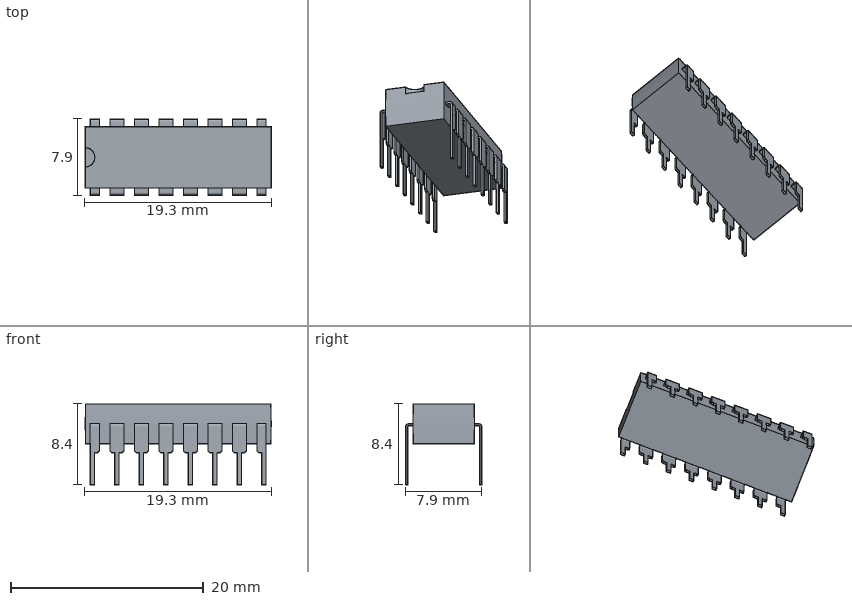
import cadquery as cq
import math

body_length = 19.3
body_width = 6.4
upper_height = 2.07
lower_height = 2.08
draft_inset = 0.04

notch_radius = 1.0
notch_depth = 0.75

leads_per_side = 8
lead_pitch = 2.54
lead_span = 7.9
overall_height = 8.4
lead_thickness = 0.23
bend_radius = 0.29
blade_width = 1.47
leg_width = 0.46
leg_length = 3.32
shoulder_chamfer = 0.2

tip_z = upper_height - overall_height
shoulder_z = tip_z + leg_length
lead_root_y = body_width / 2 - 2 * lead_thickness
lead_outer_y = lead_span / 2


def body_half(height):
    """Tapered half of the body, rising from the parting plane."""
    draft_angle = math.degrees(math.atan(draft_inset / height))
    return cq.Workplane("XY").rect(body_length, body_width).extrude(height, taper=draft_angle)


def notched_body():
    lower = body_half(lower_height).mirror("XY")
    notch = (
        cq.Workplane("XY", origin=(-body_length / 2, 0, upper_height - notch_depth))
        .circle(notch_radius)
        .extrude(notch_depth)
    )
    return body_half(upper_height).union(lower).cut(notch)


def bent_strip():
    """Bent strip at the -Y side, as wide as the blade and centred on X = 0."""
    inner_radius = bend_radius - lead_thickness
    bend_y = -lead_outer_y + bend_radius
    inner_y = -lead_outer_y + lead_thickness
    return (
        cq.Workplane("YZ", origin=(-blade_width / 2, 0, 0))
        .moveTo(-lead_root_y, 0)
        .lineTo(bend_y, 0)
        .radiusArc((-lead_outer_y, -bend_radius), -bend_radius)
        .lineTo(-lead_outer_y, tip_z)
        .lineTo(inner_y, tip_z)
        .lineTo(inner_y, -bend_radius)
        .radiusArc((bend_y, -lead_thickness), inner_radius)
        .lineTo(-lead_root_y, -lead_thickness)
        .close()
        .extrude(blade_width)
    )


def shoulder_cutter():
    """Material beside the leg on its +X side, below the chamfered shoulder."""
    half_blade = blade_width / 2
    return (
        cq.Workplane("XZ")
        .moveTo(leg_width / 2, tip_z)
        .lineTo(leg_width / 2, shoulder_z)
        .lineTo(half_blade - shoulder_chamfer, shoulder_z)
        .lineTo(half_blade, shoulder_z + shoulder_chamfer)
        .lineTo(half_blade, tip_z)
        .close()
        .extrude(lead_span)
    )


def full_lead():
    cutter = shoulder_cutter()
    return bent_strip().cut(cutter).cut(cutter.mirror("YZ"))


def left_end_lead():
    """Lead whose blade is trimmed flush with the leg on its -X side."""
    trim_width = (blade_width - leg_width) / 2
    trim = (
        cq.Workplane("XY")
        .box(trim_width, lead_span, overall_height, centered=(False, True, False))
        .translate((-blade_width / 2, 0, tip_z))
    )
    return full_lead().cut(trim)


def lead_row():
    """All leads of the -Y side."""
    first_x = -lead_pitch * (leads_per_side - 1) / 2
    left_end = left_end_lead().translate((first_x, 0, 0))
    row = left_end.union(left_end.mirror("YZ"))
    inner_lead = full_lead()
    for index in range(1, leads_per_side - 1):
        row = row.union(inner_lead.translate((first_x + index * lead_pitch, 0, 0)))
    return row


front_leads = lead_row()
back_leads = front_leads.mirror("XZ")
result = notched_body().union(front_leads).union(back_leads)